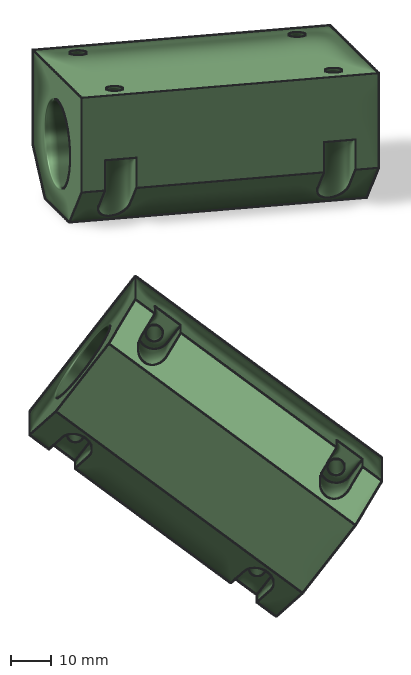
import cadquery as cq

width = 43.0
length = 76.0
height = 35.0
corner_chamfer = 10.75

bore_diameter = 22.0
bore_axis_height = 17.0
bore_mouth_radius = 0.5

hole_diameter = 4.2
hole_spacing_x = 32.0
hole_spacing_y = 56.0
recess_width = 8.0
recess_top = 18.5


def make_block():
    """Rectangular block with both lower long edges cut at 45 degrees."""
    block = cq.Workplane("XY").box(width, length, height, centered=(True, True, False))
    return block.faces("<Z").edges("|Y").chamfer(corner_chamfer)


def add_bore(block):
    """Cut the through bore along Y and round its edge at each end."""
    bore = (
        cq.Workplane("XZ")
        .center(0, bore_axis_height)
        .circle(bore_diameter / 2)
        .extrude(length / 2, both=True)
    )
    return block.cut(bore).edges("%CIRCLE").fillet(bore_mouth_radius)


def make_screw_seat(side, y):
    """Screw hole and its round-ended recess, running out through the side wall (side = -1 or 1)."""
    x = side * hole_spacing_x / 2
    reach = width / 2
    hole = cq.Workplane("XY").center(x, y).circle(hole_diameter / 2).extrude(height)
    round_end = cq.Workplane("XY").center(x, y).circle(recess_width / 2).extrude(recess_top)
    open_side = (
        cq.Workplane("XY")
        .center(x + side * reach / 2, y)
        .rect(reach, recess_width)
        .extrude(recess_top)
    )
    return hole.union(round_end).union(open_side)


result = add_bore(make_block())
for side in (-1, 1):
    for y in (-hole_spacing_y / 2, hole_spacing_y / 2):
        result = result.cut(make_screw_seat(side, y))